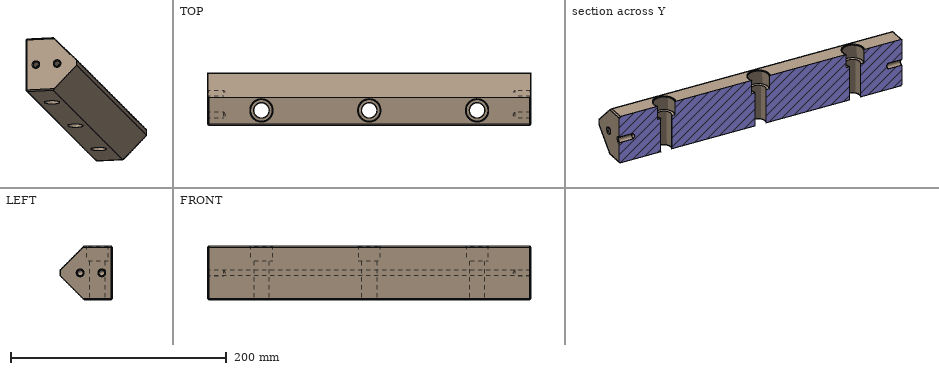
import cadquery as cq
import math

length = 300.0
depth = 48.5
height = 50.0

nose_half_height = 2.55
slope_rise = height / 2 - nose_half_height
shoulder_y = depth - slope_rise
edge_chamfer = 1.35

hole_count = 3
hole_pitch = length / hole_count
bolt_hole_y = 14.0
bolt_diameter = 14.0
counterbore_diameter = 20.0
counterbore_depth = 14.0
counterbore_chamfer = 0.75

end_hole_places = (10.0, 30.0)
end_hole_diameter = 5.5
end_hole_depth = 15.0
end_hole_chamfer = 1.0
drill_tip_angle = 118
drill_tip_length = end_hole_diameter / 2 / math.tan(math.radians(drill_tip_angle / 2))


def make_bar():
    """Extrude the profile along X and chamfer the edges of the square front part."""
    profile = [
        (0, -height / 2),
        (shoulder_y, -height / 2),
        (depth, -nose_half_height),
        (depth, nose_half_height),
        (shoulder_y, height / 2),
        (0, height / 2),
    ]
    bar = cq.Workplane("YZ").polyline(profile).close().extrude(length)
    front_edges = bar.faces("<Y").edges()
    end_edges = bar.faces("<Z or >Z").edges("|Y")
    return bar.newObject(front_edges.vals() + end_edges.vals()).chamfer(edge_chamfer)


def revolved_cutter(outline):
    """Revolve a (radius, depth) outline about the depth axis, which runs along -Z."""
    points = [(radius, -down) for radius, down in outline]
    return cq.Workplane("XZ").polyline(points).close().revolve(360, (0, 0), (0, 1))


def make_bolt_cutter():
    bore = counterbore_diameter / 2
    outline = [
        (0, 0),
        (bore + counterbore_chamfer, 0),
        (bore, counterbore_chamfer),
        (bore, counterbore_depth),
        (bolt_diameter / 2, counterbore_depth),
        (bolt_diameter / 2, height),
        (0, height),
    ]
    return revolved_cutter(outline)


def make_end_cutter():
    radius = end_hole_diameter / 2
    outline = [
        (0, 0),
        (radius + end_hole_chamfer, 0),
        (radius, end_hole_chamfer),
        (radius, end_hole_depth),
        (0, end_hole_depth + drill_tip_length),
    ]
    return revolved_cutter(outline)


result = make_bar()

bolt_cutter = make_bolt_cutter()
for index in range(hole_count):
    hole_x = (index + 0.5) * hole_pitch
    result = result.cut(bolt_cutter.translate((hole_x, bolt_hole_y, height / 2)))

left_cutter = make_end_cutter().rotate((0, 0, 0), (0, 1, 0), -90)
right_cutter = left_cutter.mirror("YZ")
for hole_y in end_hole_places:
    result = result.cut(left_cutter.translate((0, hole_y, 0)))
    result = result.cut(right_cutter.translate((length, hole_y, 0)))